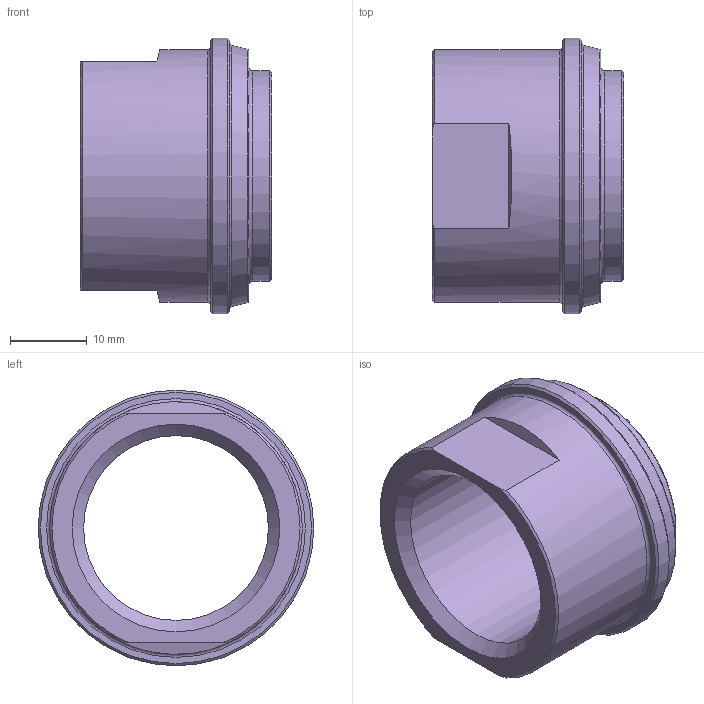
import cadquery as cq
import math

TOTAL_LENGTH = 25.0
COLLAR_START = 17.0
COLLAR_END = 19.5
CONE_END = 22.0

BODY_DIAMETER = 33.0
COLLAR_DIAMETER = 36.0
SPIGOT_DIAMETER = 27.5
BORE_DIAMETER = 24.12

CONE_END_DIAMETER = 33.0
CONE_ANGLE = 14.0

END_CHAMFER = 0.3
BORE_CHAMFER = 1.5
COLLAR_CHAMFER = 0.3
COLLAR_ROOT_FILLET = 0.4
CONE_ROOT_FILLET = 0.3
CONE_EDGE_ROUND = 0.2
SPIGOT_ROOT_FILLET = 0.5

ACROSS_FLATS = 30.0
FLAT_LENGTH = 10.0
FLAT_END_ANGLE = 15.0


def taper(length, angle):
    """Change of radius over an axial length at the given angle to the axis."""
    return length * math.tan(math.radians(angle))


def fillet_circle(solid, x, radius, size):
    """Round the full circular edge that lies at position x with the given radius."""
    tolerance = 0.01
    reach = radius + tolerance
    box = cq.selectors.BoxSelector(
        (x - tolerance, -reach, -reach),
        (x + tolerance, reach, reach),
        boundingbox=True,
    )
    inner = radius - tolerance
    edges = [edge for edge in solid.edges(box).vals() if edge.radius() > inner]
    return solid.newObject(edges).fillet(size)


def make_body():
    """Turned outer shape, revolved about the X axis."""
    body_radius = BODY_DIAMETER / 2
    collar_radius = COLLAR_DIAMETER / 2
    spigot_radius = SPIGOT_DIAMETER / 2
    cone_end_radius = CONE_END_DIAMETER / 2
    cone_start_radius = cone_end_radius + taper(CONE_END - COLLAR_END, CONE_ANGLE)

    body = (
        cq.Workplane("XY")
        .moveTo(0, 0)
        .lineTo(0, body_radius - END_CHAMFER)
        .lineTo(END_CHAMFER, body_radius)
        .lineTo(COLLAR_START, body_radius)
        .lineTo(COLLAR_START, collar_radius - COLLAR_CHAMFER)
        .lineTo(COLLAR_START + COLLAR_CHAMFER, collar_radius)
        .lineTo(COLLAR_END - COLLAR_CHAMFER, collar_radius)
        .lineTo(COLLAR_END, collar_radius - COLLAR_CHAMFER)
        .lineTo(COLLAR_END, cone_start_radius)
        .lineTo(CONE_END, cone_end_radius)
        .lineTo(CONE_END, spigot_radius)
        .lineTo(TOTAL_LENGTH - END_CHAMFER, spigot_radius)
        .lineTo(TOTAL_LENGTH, spigot_radius - END_CHAMFER)
        .lineTo(TOTAL_LENGTH, 0)
        .close()
        .revolve(360, (0, 0, 0), (1, 0, 0))
    )
    body = fillet_circle(body, COLLAR_START, body_radius, COLLAR_ROOT_FILLET)
    body = fillet_circle(body, COLLAR_END, cone_start_radius, CONE_ROOT_FILLET)
    body = fillet_circle(body, CONE_END, cone_end_radius, CONE_EDGE_ROUND)
    return fillet_circle(body, CONE_END, spigot_radius, SPIGOT_ROOT_FILLET)


def make_bore():
    """Through bore with a chamfered mouth at the spanner-flat end."""
    bore_radius = BORE_DIAMETER / 2
    return (
        cq.Workplane("XY")
        .moveTo(0, 0)
        .lineTo(0, bore_radius + BORE_CHAMFER)
        .lineTo(BORE_CHAMFER, bore_radius)
        .lineTo(TOTAL_LENGTH, bore_radius)
        .lineTo(TOTAL_LENGTH, 0)
        .close()
        .revolve(360, (0, 0, 0), (1, 0, 0))
    )


def make_flat_cutter(side):
    """Material outside one spanner flat; side is +1 for +Z and -1 for -Z."""
    flat_height = ACROSS_FLATS / 2
    top_height = COLLAR_DIAMETER / 2
    end_lean = taper(top_height - flat_height, FLAT_END_ANGLE)
    return (
        cq.Workplane("XZ")
        .moveTo(0, side * flat_height)
        .lineTo(FLAT_LENGTH, side * flat_height)
        .lineTo(FLAT_LENGTH + end_lean, side * top_height)
        .lineTo(0, side * top_height)
        .close()
        .extrude(COLLAR_DIAMETER / 2, both=True)
    )


result = make_body().cut(make_bore())
for flat_side in (1, -1):
    result = result.cut(make_flat_cutter(flat_side))